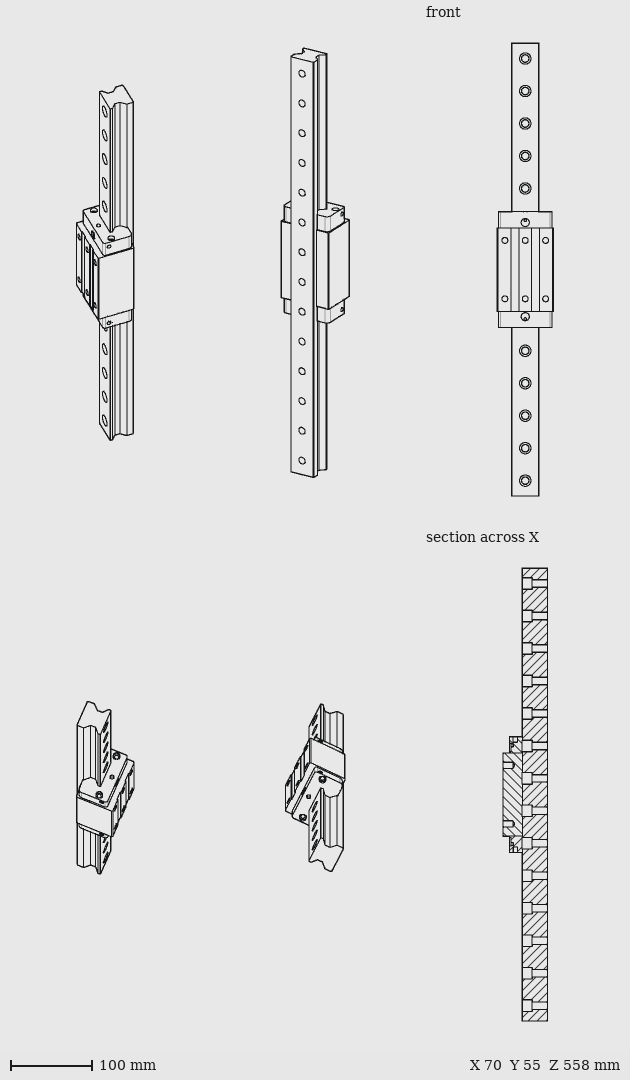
import cadquery as cq
import math


overall_height = 55.0

rail_length = 558.0
rail_width = 34.0
rail_base_y = overall_height / 2
rail_top_y = -4.0
rail_base_chamfer = 1.0
rail_top_chamfer = 0.5
waist_width = 21.0
waist_lower_y = 11.5
waist_upper_y = 5.0
flank_lower_y = 18.5
flank_upper_y = -0.5
rail_hole_count = 14
rail_end_margin = 19.0
rail_hole_pitch = (rail_length - 2 * rail_end_margin) / (rail_hole_count - 1)
rail_hole_diameter = 9.0
rail_counterbore_diameter = 14.0
rail_counterbore_depth = 12.0

block_width = 70.0
block_length = 102.5
block_top_y = -overall_height / 2
block_base_y = 21.0
block_edge_chamfer = 1.0
groove_inner_x = 8.0
groove_outer_x = 18.0
groove_depth = 1.0
mount_hole_diameter = 7.0
mount_hole_depth = 12.0
mount_hole_spacing_x = 25.0
mount_hole_spacing_z = 72.0
drill_point_angle = 118.0

cap_width = 66.5
cap_length = 20.0
cap_top_y = -19.5
cap_base_y = 19.5
cap_top_fillet = 3.0
cap_base_fillet = 5.0
screw_recess_diameter = 8.5
screw_recess_depth = 5.0
screw_hole_diameter = 4.9
screw_hole_x = 27.5
screw_hole_y = -6.5
oil_hole_diameter = 10.0
oil_hole_depth = 1.5
oil_hole_from_block = 6.5
oil_passage_diameter = 3.25
oil_passage_depth = 4.5
oil_passage_offset = 3.0
nipple_hole_diameter = 4.9
nipple_hole_depth = 6.5
nipple_hole_y = -12.0
side_hole_from_end = 7.0


def box_between(width, low_y, high_y, length):
    """Box centred on X and Z that spans the given Y range."""
    return cq.Workplane("XY").box(width, high_y - low_y, length).translate((0, (low_y + high_y) / 2, 0))


def cylinder(diameter, depth, start, direction):
    """Cylinder that runs from the start point along the direction."""
    return cq.Workplane(cq.Solid.makeCylinder(diameter / 2, depth, cq.Vector(*start), cq.Vector(*direction)))


def rail_bar():
    """Rail with a waisted section and no holes."""
    half_width = rail_width / 2
    half_waist = waist_width / 2
    right_side = [
        (half_width - rail_top_chamfer, rail_top_y),
        (half_width, rail_top_y + rail_top_chamfer),
        (half_width, flank_upper_y),
        (half_waist, waist_upper_y),
        (half_waist, waist_lower_y),
        (half_width, flank_lower_y),
        (half_width, rail_base_y - rail_base_chamfer),
        (half_width - rail_base_chamfer, rail_base_y),
    ]
    left_side = [(-x, y) for x, y in reversed(right_side)]
    section = cq.Workplane("XY").polyline(right_side + left_side).close()
    return section.extrude(rail_length / 2, both=True)


def make_rail():
    rail = rail_bar()
    for index in range(rail_hole_count):
        z = -rail_length / 2 + rail_end_margin + index * rail_hole_pitch
        start = (0, rail_top_y, z)
        rail = rail.cut(cylinder(rail_hole_diameter, rail_base_y - rail_top_y, start, (0, 1, 0)))
        rail = rail.cut(cylinder(rail_counterbore_diameter, rail_counterbore_depth, start, (0, 1, 0)))
    return rail


def mount_hole(x, z):
    """Blind hole with a drill point, sunk from the top face of the block."""
    radius = mount_hole_diameter / 2
    point_depth = radius / math.tan(math.radians(drill_point_angle / 2))
    half_section = [
        (0, 0),
        (radius, 0),
        (radius, mount_hole_depth),
        (0, mount_hole_depth + point_depth),
    ]
    hole = cq.Workplane("XY").polyline(half_section).close().revolve(360, (0, 0), (0, 1))
    return hole.translate((x, block_top_y, z))


def make_block():
    block = box_between(block_width, block_top_y, block_base_y, block_length)
    block = block.edges("|Z").chamfer(block_edge_chamfer)
    block = block.cut(rail_bar())
    groove_width = groove_outer_x - groove_inner_x
    for side in (-1, 1):
        groove = box_between(groove_width, block_top_y, block_top_y + groove_depth, block_length)
        block = block.cut(groove.translate((side * (groove_inner_x + groove_outer_x) / 2, 0, 0)))
    for column in (-1, 0, 1):
        for end in (-1, 1):
            block = block.cut(mount_hole(column * mount_hole_spacing_x, end * mount_hole_spacing_z / 2))
    return block


def make_cap(end):
    """End cap on the +Z (end = 1) or -Z (end = -1) face of the block."""
    inner_z = end * block_length / 2
    outer_z = end * (block_length / 2 + cap_length)
    cap = box_between(cap_width, cap_top_y, cap_base_y, cap_length)
    cap = cap.edges("|Z and <Y").fillet(cap_top_fillet)
    cap = cap.edges("|Z and >Y").fillet(cap_base_fillet)
    cap = cap.translate((0, 0, (inner_z + outer_z) / 2)).cut(rail_bar())

    inward = (0, 0, -end)
    for side in (-1, 1):
        start = (side * screw_hole_x, screw_hole_y, outer_z)
        cap = cap.cut(cylinder(screw_recess_diameter, screw_recess_depth, start, inward))
        cap = cap.cut(cylinder(screw_hole_diameter, cap_length, start, inward))
        start = (side * cap_width / 2, nipple_hole_y, outer_z - end * side_hole_from_end)
        cap = cap.cut(cylinder(nipple_hole_diameter, nipple_hole_depth, start, (-side, 0, 0)))
    cap = cap.cut(cylinder(nipple_hole_diameter, nipple_hole_depth, (0, nipple_hole_y, outer_z), inward))

    oil_hole_z = inner_z + end * oil_hole_from_block
    cap = cap.cut(cylinder(oil_hole_diameter, oil_hole_depth, (0, cap_top_y, oil_hole_z), (0, 1, 0)))

    passage_start = (0, cap_top_y, oil_hole_z + end * oil_passage_offset)
    return cap.cut(cylinder(oil_passage_diameter, oil_passage_depth, passage_start, (0, 1, 0)))


rail = make_rail()
block = make_block()
caps = [make_cap(end) for end in (-1, 1)]

result = cq.Compound.makeCompound([rail.val(), block.val(), *[cap.val() for cap in caps]])